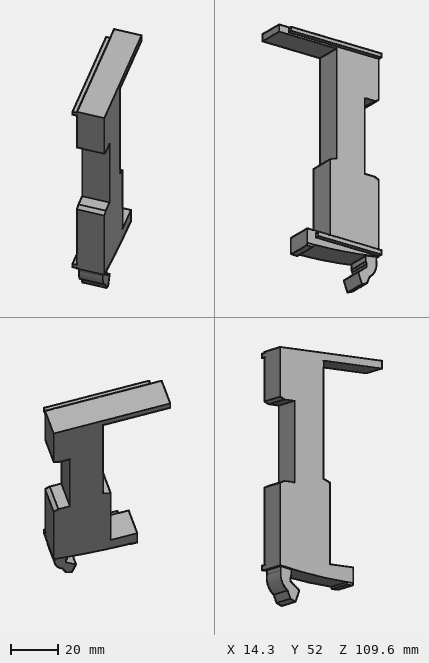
import cadquery as cq

height = 109.6
body_width = 12.3

plate_length = 52.0
plate_thickness = 3.4
upper_spine_depth = 22.0
lower_spine_depth = 25.4
spine_step_top = 54.9
spine_step_bottom = 53.6

notch_depth = 7.2
notch_top = 87.0
notch_bottom = 51.6
bevel_depth = 2.1
bevel_height = 1.0

foot_length = 37.3
foot_top = 18.2
foot_rear_bottom = 11.4
foot_front_bottom = 14.8
underside_sag = 0.8

ridge_length = 3.2
ridge_height = 1.0
ridge_end_inset = 0.4

rib_projection = 2.0
upper_rib_length = 47.0
upper_rib_height = 1.9
upper_rib_top = height - 0.5
lower_rib_length = 32.9
lower_rib_height = 2.1
lower_rib_top = 17.1

hook_left = 0.7
hook_width = 10.7
hook_front = 0.8
hook_rear = 6.2
hook_neck_bottom = 11.2
hook_bend_start = (hook_front, 12.9)
hook_bend_middle = (1.3, 8.2)
hook_bend_end = (4.3, 4.5)
hook_tip_front = (5.7, 1.1)
hook_tip_rear = (8.3, 0)
hook_barb = (10.3, 5.2)
hook_throat_bottom = (5.8, 8.7)
hook_throat_top = (5.8, 10.1)
hook_root_top = foot_front_bottom + 1.1


def side_plane(x):
    """YZ sketch plane at the given X, extruding toward +X."""
    return cq.Workplane("YZ", origin=(x, 0, 0))


def make_rib(length, rib_height, top):
    """Rib standing out of the left side, starting at the front face."""
    return cq.Workplane("XY").box(rib_projection, length, rib_height, centered=False).translate(
        (-rib_projection, 0, top - rib_height)
    )


def make_ridge():
    """Ridge with both ends sloping inward."""
    profile = (
        cq.Workplane("XZ", origin=(0, foot_length, 0))
        .moveTo(0, foot_rear_bottom)
        .lineTo(ridge_end_inset, foot_rear_bottom - ridge_height)
        .lineTo(body_width - ridge_end_inset, foot_rear_bottom - ridge_height)
        .lineTo(body_width, foot_rear_bottom)
        .lineTo(body_width, foot_top)
        .lineTo(0, foot_top)
        .close()
    )
    return profile.extrude(ridge_length)


def make_frame():
    underside_middle = (
        foot_length / 2,
        (foot_rear_bottom + foot_front_bottom) / 2 - underside_sag,
    )
    profile = (
        side_plane(0)
        .moveTo(0, height)
        .lineTo(plate_length, height)
        .lineTo(plate_length, height - plate_thickness)
        .lineTo(upper_spine_depth, height - plate_thickness)
        .lineTo(upper_spine_depth, spine_step_top)
        .lineTo(lower_spine_depth, spine_step_bottom)
        .lineTo(lower_spine_depth, foot_top)
        .lineTo(foot_length, foot_top)
        .lineTo(foot_length, foot_rear_bottom)
        .threePointArc(underside_middle, (0, foot_front_bottom))
        .lineTo(0, notch_bottom - bevel_height)
        .lineTo(bevel_depth, notch_bottom)
        .lineTo(notch_depth, notch_bottom)
        .lineTo(notch_depth, notch_top)
        .lineTo(bevel_depth, notch_top)
        .lineTo(0, notch_top + bevel_height)
        .close()
    )
    upper_rib = make_rib(upper_rib_length, upper_rib_height, upper_rib_top)
    lower_rib = make_rib(lower_rib_length, lower_rib_height, lower_rib_top)
    return profile.extrude(body_width).union(make_ridge()).union(upper_rib).union(lower_rib)


def make_hook(frame):
    """Curved hook whose root meets the underside of the foot."""
    blank = (
        side_plane(hook_left)
        .moveTo(hook_front, hook_root_top)
        .lineTo(*hook_bend_start)
        .threePointArc(hook_bend_middle, hook_bend_end)
        .lineTo(*hook_tip_front)
        .lineTo(*hook_tip_rear)
        .lineTo(*hook_barb)
        .lineTo(*hook_throat_bottom)
        .lineTo(*hook_throat_top)
        .lineTo(hook_rear, hook_neck_bottom)
        .lineTo(hook_rear, hook_root_top)
        .close()
        .extrude(hook_width)
    )
    return blank.cut(frame)


frame = make_frame()
hook = make_hook(frame)
result = cq.Compound.makeCompound([frame.val(), hook.val()])